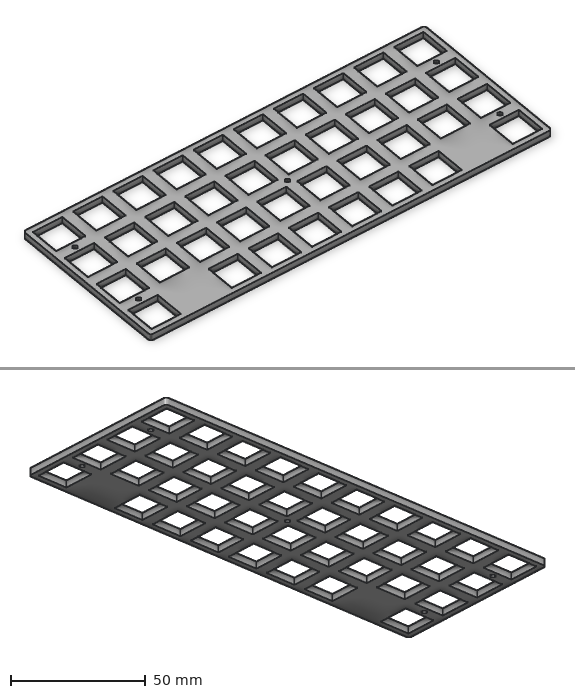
import cadquery as cq

columns = 4
rows = 10
pitch = 19.0
thickness = 3.0
corner_radius = 1.3

key_opening = 13.9
screw_diameter = 2.0

solid_cells = [(3, 1), (3, 8)]

plate_width = columns * pitch
plate_length = rows * pitch


def cell_center(column, row):
    """Centre of a key cell, with the plate centred on the origin."""
    return (
        (column + 0.5) * pitch - plate_width / 2,
        (row + 0.5) * pitch - plate_length / 2,
    )


def make_plate():
    """Flat plate with rounded vertical corners."""
    plate = cq.Workplane("XY").rect(plate_width, plate_length).extrude(thickness)
    return plate.edges("|Z").fillet(corner_radius)


def key_cutters():
    """Square prisms for every open key cell."""
    cells = [(column, row) for column in range(columns) for row in range(rows)]
    centers = [cell_center(*cell) for cell in cells if cell not in solid_cells]
    return cq.Workplane("XY").pushPoints(centers).rect(key_opening, key_opening).extrude(thickness)


def screw_cutters():
    """Screw holes: one between each pair of outer keys in the end rows, one at the centre."""
    screw_x = pitch
    screw_y = plate_length / 2 - pitch / 2
    corners = [(x, y) for x in (-screw_x, screw_x) for y in (-screw_y, screw_y)]
    points = corners + [(0, 0)]
    return cq.Workplane("XY").pushPoints(points).circle(screw_diameter / 2).extrude(thickness)


result = make_plate().cut(key_cutters()).cut(screw_cutters())